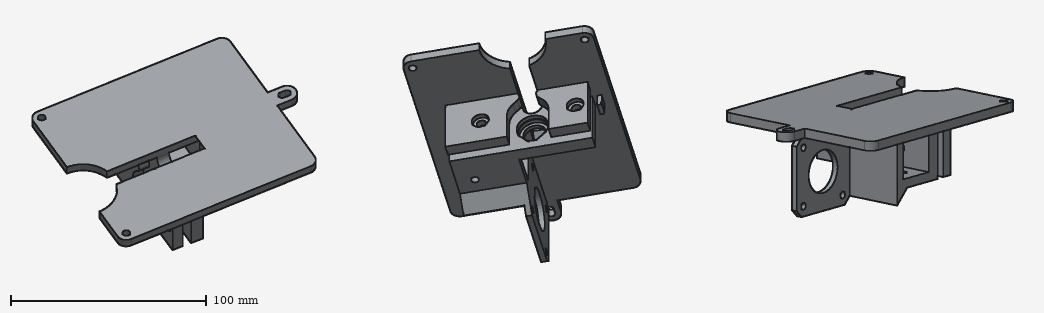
import cadquery as cq
import math


plate_width = 100.0
plate_length = 115.0
plate_thickness = 5.0
plate_corner_radius = 5.0
plate_hole_diameter = 4.0
plate_hole_side_inset = 4.8
plate_hole_front_inset = 5.0

overall_length = 128.6
tongue_width = 10.3
tongue_slot_width = 4.0
tongue_slot_length = 7.0

axis_x = 8.2
axis_z = -15.2
slot_width = 10.0
slot_end_y = 68.0
front_notch_radius = 17.4

flange_size = 41.9
flange_thickness = 3.2
flange_right_x = -0.4
flange_front_y = 77.8
flange_chamfer = 4.0
motor_bore_diameter = 22.8
motor_hole_diameter = 3.6
motor_hole_spacing = 31.0

bracket_left_x = -35.5
bracket_depth = 30.0
back_wall_thickness = 5.0
floor_thickness = 5.0

floor_hole_diameter = 4.0
floor_hole_x = -25.7
floor_hole_y = 61.7

block_front_y = 45.8
block_back_y = 52.8
block_right_x = 39.7
shaft_bore_diameter = 12.0
bearing_diameter = 16.0
bearing_depth = 4.9
pocket_diameter = 16.7
pocket_depth = 2.5
pocket_drop = 9.6

clamp_front_y = 35.0
clamp_back_y = 41.0
clamp_left_x = -35.1
clamp_right_lift = 0.4
arch_diameter = 22.0
neck_width = 8.7
lip_radius = 3.9

screw_offset = 25.0
clamp_screw_diameter = 5.0
block_screw_diameter = 4.8
screw_head_diameter = 9.0
screw_head_depth = 2.6

pin_left_x = 42.3
pin_width = 2.3
pin_shank_length = 5.3
pin_tip_diameter = 2.3
pin_tip_lean = 0.3
pin_tip_depth = 5.8


def box(x_range, y_range, z_range):
    """Box between the given low and high limits on each axis."""
    lows, highs = zip(x_range, y_range, z_range)
    size = [high - low for low, high in zip(lows, highs)]
    return cq.Workplane("XY").box(*size, centered=False).translate(lows)


def facing_front(y):
    """Sketch plane at the given Y, with local axes X and Z; extrusions run toward +Y."""
    return cq.Workplane(cq.Plane(origin=(0, y, 0), xDir=(1, 0, 0), normal=(0, -1, 0)))


def rod(x, z, diameter, y_start, y_end):
    """Cylinder along Y."""
    return facing_front(y_start).center(x, z).circle(diameter / 2).extrude(y_start - y_end)


def make_plate():
    plate = (
        cq.Workplane("XY")
        .rect(plate_width, plate_length)
        .extrude(plate_thickness)
        .edges("|Z")
        .fillet(plate_corner_radius)
        .translate((0, plate_length / 2, 0))
    )

    tongue_end_y = overall_length - tongue_width / 2
    tongue = box(
        (-tongue_width / 2, tongue_width / 2),
        (plate_length - tongue_width / 2, tongue_end_y),
        (0, plate_thickness),
    )
    tongue_end = cq.Workplane("XY").center(0, tongue_end_y).circle(tongue_width / 2).extrude(plate_thickness)
    slot_centre_y = tongue_end_y + tongue_slot_width / 2 - tongue_slot_length / 2
    tongue_slot = (
        cq.Workplane("XY")
        .center(0, slot_centre_y)
        .slot2D(tongue_slot_length, tongue_slot_width, 90)
        .extrude(plate_thickness)
    )

    nozzle_slot = (
        cq.Workplane("YZ", origin=(axis_x - slot_width / 2, 0, 0))
        .polyline(
            [
                (0, 0),
                (slot_end_y + plate_thickness, 0),
                (slot_end_y, plate_thickness),
                (0, plate_thickness),
            ]
        )
        .close()
        .extrude(slot_width)
    )
    notch = cq.Workplane("XY").center(axis_x, 0).circle(front_notch_radius).extrude(plate_thickness)

    hole_x = plate_width / 2 - plate_hole_side_inset
    holes = (
        cq.Workplane("XY")
        .pushPoints([(-hole_x, plate_hole_front_inset), (hole_x, plate_hole_front_inset)])
        .circle(plate_hole_diameter / 2)
        .extrude(plate_thickness)
    )
    plate = plate.union(tongue).union(tongue_end)
    return plate.cut(tongue_slot).cut(nozzle_slot).cut(notch).cut(holes)


def make_flange():
    centre = (flange_right_x - flange_thickness, flange_front_y + flange_size / 2, -flange_size / 2)
    left_face = cq.Workplane("YZ", origin=centre)
    flange = left_face.rect(flange_size, flange_size).extrude(flange_thickness)
    flange = flange.edges("|X and (>Y or <Z)").chamfer(flange_chamfer)
    motor_bore = left_face.circle(motor_bore_diameter / 2).extrude(flange_thickness)
    screw_holes = (
        left_face.rect(motor_hole_spacing, motor_hole_spacing, forConstruction=True)
        .vertices()
        .circle(motor_hole_diameter / 2)
        .extrude(flange_thickness)
    )
    return flange.cut(motor_bore).cut(screw_holes)


def make_bracket():
    wall_bottom = flange_chamfer - flange_size
    slope_end_y = flange_front_y + wall_bottom + bracket_depth
    wall_front_y = flange_front_y - back_wall_thickness
    floor_top = floor_thickness - bracket_depth
    outline = [
        (flange_front_y, 0),
        (flange_front_y, wall_bottom),
        (slope_end_y, -bracket_depth),
        (block_back_y, -bracket_depth),
        (block_back_y, floor_top),
        (wall_front_y, floor_top),
        (wall_front_y, 0),
    ]
    bracket = (
        cq.Workplane("YZ", origin=(bracket_left_x, 0, 0))
        .polyline(outline)
        .close()
        .extrude(flange_right_x - bracket_left_x)
    )
    floor_hole = (
        cq.Workplane("XY", origin=(floor_hole_x, floor_hole_y, -bracket_depth))
        .circle(floor_hole_diameter / 2)
        .extrude(floor_thickness)
    )
    return bracket.cut(floor_hole)


def bearing_pocket():
    """Cylinder along Y with 45 degree flanks below, cut flat underneath."""
    pocket_end_y = block_front_y + pocket_depth
    tangent = pocket_diameter / 2 * math.sqrt(0.5)
    tip_half_width = 2 * tangent - pocket_drop
    flanks = (
        facing_front(block_front_y)
        .center(axis_x, axis_z)
        .polyline(
            [
                (0, 0),
                (-tangent, -tangent),
                (-tip_half_width, -pocket_drop),
                (tip_half_width, -pocket_drop),
                (tangent, -tangent),
            ]
        )
        .close()
        .extrude(-pocket_depth)
    )
    return rod(axis_x, axis_z, pocket_diameter, block_front_y, pocket_end_y).union(flanks)


def make_block():
    block = box((bracket_left_x, block_right_x), (block_front_y, block_back_y), (-bracket_depth, 0))
    block = block.cut(rod(axis_x, 0, slot_width, block_front_y, block_back_y))
    block = block.cut(bearing_pocket())
    block = block.cut(rod(axis_x, axis_z, bearing_diameter, block_front_y, block_front_y + bearing_depth))
    block = block.cut(rod(axis_x, axis_z, shaft_bore_diameter, block_front_y, block_back_y))
    for screw_x in (axis_x - screw_offset, axis_x + screw_offset):
        block = block.cut(rod(screw_x, axis_z, block_screw_diameter, block_front_y, block_back_y))
    return block


def clamp_opening():
    """Arch open at the bottom, with 45 degree flanks running smoothly into two round lips at the neck."""
    radius = arch_diameter / 2
    diagonal = math.sqrt(0.5)
    tangent = radius * diagonal
    lip_x = neck_width / 2 + lip_radius
    lip_z = axis_z + 2 * tangent - lip_x + lip_radius / diagonal
    top_x = lip_x - math.sqrt(lip_radius**2 - lip_z**2)
    arch_bend = (radius * math.cos(math.pi / 8), axis_z + radius * math.sin(math.pi / 8))
    lip_start = (lip_x - lip_radius * diagonal, lip_z - lip_radius * diagonal)
    half = (
        facing_front(clamp_front_y)
        .moveTo(0, -bracket_depth)
        .lineTo(radius, -bracket_depth)
        .lineTo(radius, axis_z)
        .threePointArc(arch_bend, (tangent, axis_z + tangent))
        .lineTo(*lip_start)
        .threePointArc((neck_width / 2, lip_z), (top_x, 0))
        .lineTo(0, 0)
        .close()
        .extrude(clamp_front_y - clamp_back_y)
    )
    return half.union(half.mirror("YZ")).translate((axis_x, 0, 0))


def make_clamp():
    """Two clamp halves, parted by an arch that narrows to a neck under the plate."""
    depth_range = (clamp_front_y, clamp_back_y)
    left = box((clamp_left_x, axis_x), depth_range, (-bracket_depth, 0))
    right = box((axis_x, block_right_x), depth_range, (clamp_right_lift - bracket_depth, 0))
    clamp = left.union(right).cut(clamp_opening())

    head_end_y = clamp_front_y + screw_head_depth
    for screw_x in (axis_x - screw_offset, axis_x + screw_offset):
        clamp = clamp.cut(rod(screw_x, axis_z, clamp_screw_diameter, *depth_range))
        clamp = clamp.cut(rod(screw_x, axis_z, screw_head_diameter, clamp_front_y, head_end_y))
    return clamp


def make_carriage():
    carriage = make_plate()
    for feature in (make_flange(), make_bracket(), make_block(), make_clamp()):
        carriage = carriage.union(feature)
    return carriage


def make_pin():
    """Flat hanging pin with a rounded tip that leans slightly toward -X."""
    pin_span = (block_front_y, block_back_y)
    shank = box((pin_left_x, pin_left_x + pin_width), pin_span, (-pin_shank_length, 0))
    tip_x = pin_left_x + pin_width / 2 - pin_tip_lean
    tip = rod(tip_x, -pin_tip_depth, pin_tip_diameter, *pin_span)
    return shank.union(tip)


carriage = make_carriage()
pin = make_pin()

result = cq.Compound.makeCompound([carriage.val(), pin.val()])